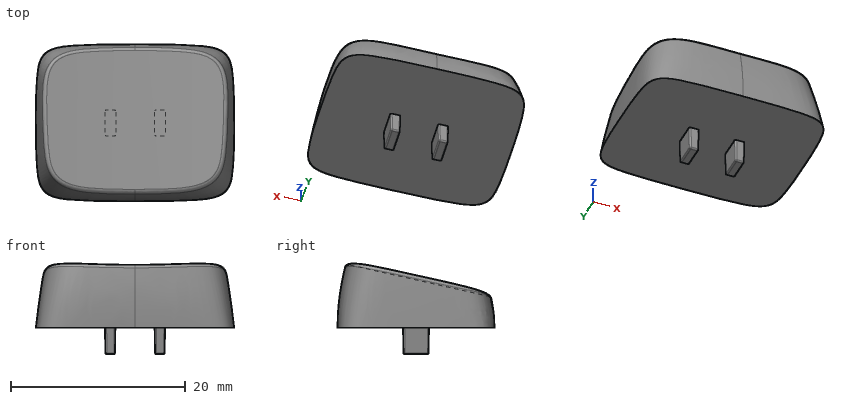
import cadquery as cq
import math

CAP_LENGTH = 22.75
CAP_DEPTH = 18.0

WALL_OUTLINES = [
    (0, CAP_LENGTH / 2, CAP_DEPTH / 2, CAP_DEPTH / 2, 8),
    (2.73, 11.04, 8.88, 8.76, 6.2),
    (5.46, 10.63, 8.47, 8.05, 5.2),
    (8.2, 10.13, 7.8, 7.05, 4.7),
]
SIDE_BOW = 0.03
SPANS_PER_QUARTER = 12

DISH_RADIUS = 99.92
DISH_TILT = 12.7
DISH_HEIGHT = 5.53
RIM_FILLET = 0.45

LEG_SPACING = 5.7
LEG_WIDTH = 1.23
LEG_DEPTH = 3.0
LEG_LENGTH = 3.0
LEG_TAPER = 1
LEG_FILLET = 0.18

DISH_CUTTER_LENGTH = 2 * CAP_LENGTH


def wall_outline(height, half_width, front, back, squareness):
    """Closed superellipse with bowed sides, as two half splines meeting at X = 0."""
    half_depth = (front + back) / 2
    middle_y = (back - front) / 2
    right_half = []
    left_half = []
    last_step = 2 * SPANS_PER_QUARTER
    for step in range(last_step + 1):
        angle = math.pi / 2 * (step / SPANS_PER_QUARTER - 1)
        across = abs(math.cos(angle)) ** (2 / squareness)
        along = math.copysign(abs(math.sin(angle)) ** (2 / squareness), angle)
        if step in (0, last_step):
            across = 0
        x = half_width * across * (1 - SIDE_BOW * along**2)
        y = middle_y + half_depth * along * (1 - SIDE_BOW * across**2)
        right_half.append(cq.Vector(x, y, height))
        left_half.append(cq.Vector(-x, y, height))
    to_right = cq.Vector(1, 0, 0)
    to_left = cq.Vector(-1, 0, 0)
    return cq.Wire.assembleEdges([
        cq.Edge.makeSpline(right_half, tangents=[to_right, to_left]),
        cq.Edge.makeSpline(left_half[::-1], tangents=[to_left, to_right]),
    ])


def dish_cutter():
    """Cylinder lying along the fall of the dish, which removes everything above it."""
    return (
        cq.Workplane("XZ")
        .circle(DISH_RADIUS)
        .extrude(DISH_CUTTER_LENGTH / 2, both=True)
        .translate((0, 0, DISH_RADIUS))
        .rotate((0, 0, 0), (1, 0, 0), -DISH_TILT)
        .translate((0, 0, DISH_HEIGHT))
    )


def cap():
    wall = cq.Solid.makeLoft([wall_outline(*row) for row in WALL_OUTLINES])
    trimmed = cq.Workplane(wall).cut(dish_cutter())
    return trimmed.faces(">Z").edges().fillet(RIM_FILLET)


def leg(x):
    return (
        cq.Workplane("XY")
        .rect(LEG_WIDTH, LEG_DEPTH)
        .extrude(-LEG_LENGTH, taper=LEG_TAPER)
        .edges("not >Z")
        .fillet(LEG_FILLET)
        .translate((x, 0, 0))
    )


result = cap()
for leg_x in (-LEG_SPACING / 2, LEG_SPACING / 2):
    result = result.union(leg(leg_x))